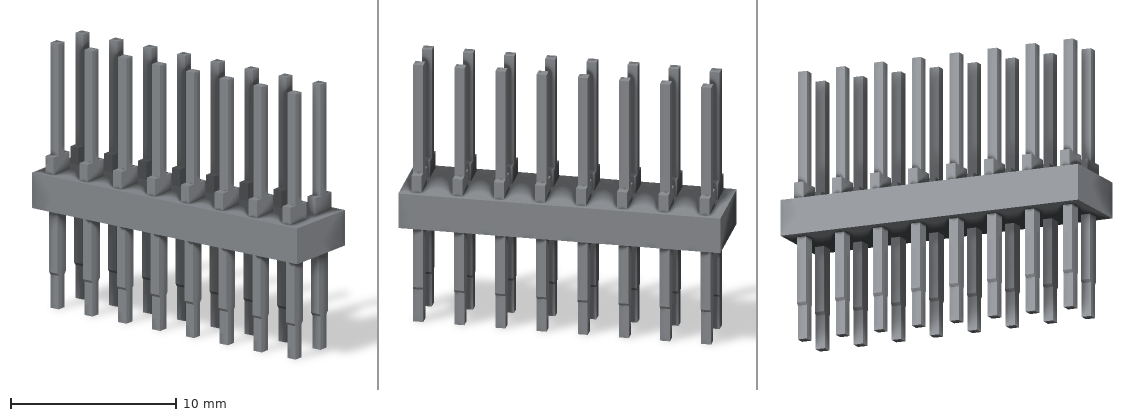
import cadquery as cq

body_length = 19.91
body_depth = 4.88
body_height = 2.25

pin_columns = 8
pin_rows = 2
pin_span = 17.8
pitch = pin_span / (pin_columns - 1)

pin_width = 0.62
pin_rise = 8.15
pin_drop = 6.37
shoulder_depth = 1.63
shoulder_rise = 1.1
tail_depth = 0.88
tail_drop = 4.08
taper_height = 0.18

pin_top = body_height + pin_rise
shoulder_top = body_height + shoulder_rise


def make_pin():
    """One pin on the Z axis, its Y-Z profile extruded along X."""
    half_profile = [
        (pin_width / 2, pin_top),
        (pin_width / 2, shoulder_top),
        (shoulder_depth / 2, shoulder_top),
        (shoulder_depth / 2, 0),
        (tail_depth / 2, 0),
        (tail_depth / 2, -tail_drop),
        (pin_width / 2, -tail_drop - taper_height),
        (pin_width / 2, -pin_drop),
    ]
    mirrored_half = [(-y, z) for y, z in reversed(half_profile)]
    profile = cq.Workplane("YZ").polyline(half_profile + mirrored_half).close()
    return profile.extrude(pin_width / 2, both=True)


body = cq.Workplane("XY").box(body_length, body_depth, body_height, centered=(True, True, False))
pin = make_pin()

result = body
for column in range(pin_columns):
    for row in range(pin_rows):
        x = (column - (pin_columns - 1) / 2) * pitch
        y = (row - (pin_rows - 1) / 2) * pitch
        result = result.union(pin.translate((x, y, 0)))